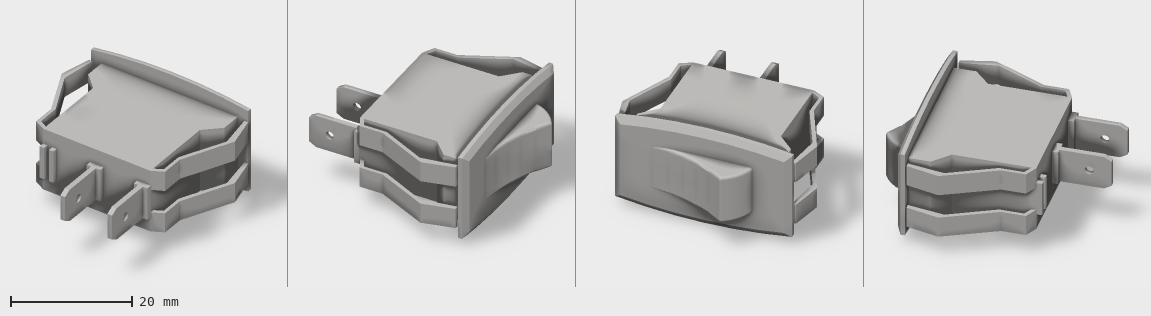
import math

import cadquery as cq


BEZEL_HALF_LENGTH = 15.73
BEZEL_HALF_HEIGHT = 9.27
BEZEL_END_HALF_HEIGHT = 8.03
BEZEL_RIM = 0.75
BEZEL_BEVEL_DEPTH = 0.75
BEZEL_BEVEL_INSET = 1.13
BEZEL_FRONT = BEZEL_RIM + BEZEL_BEVEL_DEPTH

BODY_HEIGHT = 12.12
BODY_DEPTH = 21.09
BODY_WIDE_HALF = 13.65
BODY_NARROW_HALF = 10.72
BODY_TAPER_START = 3.86
BODY_TAPER_END = 6.67

CLIP_HEIGHT = 3.82
CLIP_HALF_SPAN = 34.71 / 2
CLIP_TIP_Y = -0.35
CLIP_TIP_OUTER_X = 15.97
CLIP_TIP_INNER_X = 15.2
CLIP_KNEE_OUTER_Y = -6.18
CLIP_KNEE_INNER_X = 16.25
CLIP_KNEE_INNER_Y = -6.92
CLIP_LEG_OUTER_X = 12.91
CLIP_LEG_INNER_X = 12.3
CLIP_LEG_OUTER_START_Y = -15.67
CLIP_LEG_INNER_START_Y = -15.2
CLIP_LEG_OUTER_END_Y = -19.95
CLIP_LEG_INNER_END_Y = -19.46
CLIP_ROOT_THICKNESS = 0.78

TERMINAL_PITCH = 9.425
TERMINAL_HEIGHT = 6.27
RIB_LENGTH = 1.02
RIB_PAIR_WIDTH = 2.72
TERMINAL_CENTRE_X = TERMINAL_PITCH + RIB_PAIR_WIDTH / 2 - BODY_NARROW_HALF
BLADE_THICKNESS = 0.95
BLADE_LENGTH = 9.94
BLADE_CORNER_Y = 1.3
BLADE_CORNER_Z = 0.74
BLADE_HOLE_DIAMETER = 1.52
BLADE_HOLE_FROM_TIP = 3.84

ROCKER_HEIGHT = 8.96
ROCKER_TIP = (-5.13, 6.29)
ROCKER_END_FOOT = (-9.0, BEZEL_FRONT)
ROCKER_END_MIDDLE = (-7.51, 4.38)
ROCKER_FACE_FOOT = (8.9, BEZEL_FRONT)
ROCKER_FACE_MIDDLE = (1.85, 2.8)
ROCKER_TIP_RADIUS = 0.4
ROCKER_EDGE_RADIUS = 0.5


def prism(profile, height, z_centre=0):
    """Extrude a closed XY profile along Z, centred on z_centre."""
    return profile.extrude(height / 2, both=True).translate((0, 0, z_centre))


def bezel_outline(y):
    """Closed bezel outline in the XZ plane at the given Y, facing +Y."""
    plane = cq.Plane(origin=(0, y, 0), xDir=(1, 0, 0), normal=(0, 1, 0))
    return (
        cq.Workplane(plane)
        .moveTo(-BEZEL_HALF_LENGTH, -BEZEL_END_HALF_HEIGHT)
        .threePointArc((0, -BEZEL_HALF_HEIGHT), (BEZEL_HALF_LENGTH, -BEZEL_END_HALF_HEIGHT))
        .lineTo(BEZEL_HALF_LENGTH, BEZEL_END_HALF_HEIGHT)
        .threePointArc((0, BEZEL_HALF_HEIGHT), (-BEZEL_HALF_LENGTH, BEZEL_END_HALF_HEIGHT))
        .close()
    )


def make_bezel():
    bevel_angle = math.degrees(math.atan2(BEZEL_BEVEL_INSET, BEZEL_BEVEL_DEPTH))
    rim = bezel_outline(0).extrude(BEZEL_RIM)
    bevel = bezel_outline(BEZEL_RIM).extrude(BEZEL_BEVEL_DEPTH, taper=bevel_angle)
    return rim.union(bevel)


def make_body():
    right_side = [
        (BODY_WIDE_HALF, 0),
        (BODY_WIDE_HALF, -BODY_TAPER_START),
        (BODY_NARROW_HALF, -BODY_TAPER_END),
        (BODY_NARROW_HALF, -BODY_DEPTH),
    ]
    left_side = [(-x, y) for x, y in reversed(right_side)]
    return prism(cq.Workplane("XY").polyline(right_side + left_side).close(), BODY_HEIGHT)


def make_clip(side, z_centre):
    """Bent spring strip; side is +1 for the +X side and -1 for the -X side."""
    outer_edge = [
        (CLIP_TIP_OUTER_X, CLIP_TIP_Y),
        (CLIP_HALF_SPAN, CLIP_KNEE_OUTER_Y),
        (CLIP_LEG_OUTER_X, CLIP_LEG_OUTER_START_Y),
        (CLIP_LEG_OUTER_X, CLIP_LEG_OUTER_END_Y),
        (BODY_NARROW_HALF, -BODY_DEPTH),
    ]
    inner_edge = [
        (BODY_NARROW_HALF, -BODY_DEPTH + CLIP_ROOT_THICKNESS),
        (CLIP_LEG_INNER_X, CLIP_LEG_INNER_END_Y),
        (CLIP_LEG_INNER_X, CLIP_LEG_INNER_START_Y),
        (CLIP_KNEE_INNER_X, CLIP_KNEE_INNER_Y),
        (CLIP_TIP_INNER_X, CLIP_TIP_Y),
    ]
    points = [(side * x, y) for x, y in outer_edge + inner_edge]
    return prism(cq.Workplane("XY").polyline(points).close(), CLIP_HEIGHT, z_centre)


def make_rib_pair(x_centre):
    """Two short ribs on the back of the body, one blade thickness apart."""
    rib_width = (RIB_PAIR_WIDTH - BLADE_THICKNESS) / 2
    rib_offset = (BLADE_THICKNESS + rib_width) / 2
    return (
        cq.Workplane("XY")
        .pushPoints([(-rib_offset, 0), (rib_offset, 0)])
        .box(rib_width, RIB_LENGTH, TERMINAL_HEIGHT)
        .translate((x_centre, -BODY_DEPTH - RIB_LENGTH / 2, 0))
    )


def make_blade(x_centre):
    """Flat terminal with two clipped corners and a cross hole."""
    half_height = TERMINAL_HEIGHT / 2
    root_y = -BODY_DEPTH
    tip_y = root_y - BLADE_LENGTH
    upper_edge = [
        (root_y, half_height),
        (tip_y + BLADE_CORNER_Y, half_height),
        (tip_y, half_height - BLADE_CORNER_Z),
    ]
    lower_edge = [(y, -z) for y, z in reversed(upper_edge)]
    blade = cq.Workplane("YZ").polyline(upper_edge + lower_edge).close()
    hole = cq.Workplane("YZ").center(tip_y + BLADE_HOLE_FROM_TIP, 0).circle(BLADE_HOLE_DIAMETER / 2)
    half_thickness = BLADE_THICKNESS / 2
    blade = blade.extrude(half_thickness, both=True)
    return blade.cut(hole.extrude(half_thickness, both=True)).translate((x_centre, 0, 0))


def make_rocker():
    profile = (
        cq.Workplane("XY")
        .moveTo(ROCKER_END_FOOT[0], 0)
        .lineTo(*ROCKER_END_FOOT)
        .threePointArc(ROCKER_END_MIDDLE, ROCKER_TIP)
        .threePointArc(ROCKER_FACE_MIDDLE, ROCKER_FACE_FOOT)
        .lineTo(ROCKER_FACE_FOOT[0], 0)
        .close()
    )
    rocker = prism(profile, ROCKER_HEIGHT)
    rocker = rocker.edges(cq.NearestToPointSelector((*ROCKER_TIP, 0))).fillet(ROCKER_TIP_RADIUS)
    return rocker.faces("<Z or >Z").edges("not <Y").fillet(ROCKER_EDGE_RADIUS)


result = make_bezel().union(make_body()).union(make_rocker())

clip_z = (BODY_HEIGHT - CLIP_HEIGHT) / 2
for clip_side in (-1, 1):
    for z in (-clip_z, clip_z):
        result = result.union(make_clip(clip_side, z))

for position, has_blade in ((-1, False), (0, True), (1, True)):
    terminal_x = TERMINAL_CENTRE_X + position * TERMINAL_PITCH
    result = result.union(make_rib_pair(terminal_x))
    if has_blade:
        result = result.union(make_blade(terminal_x))